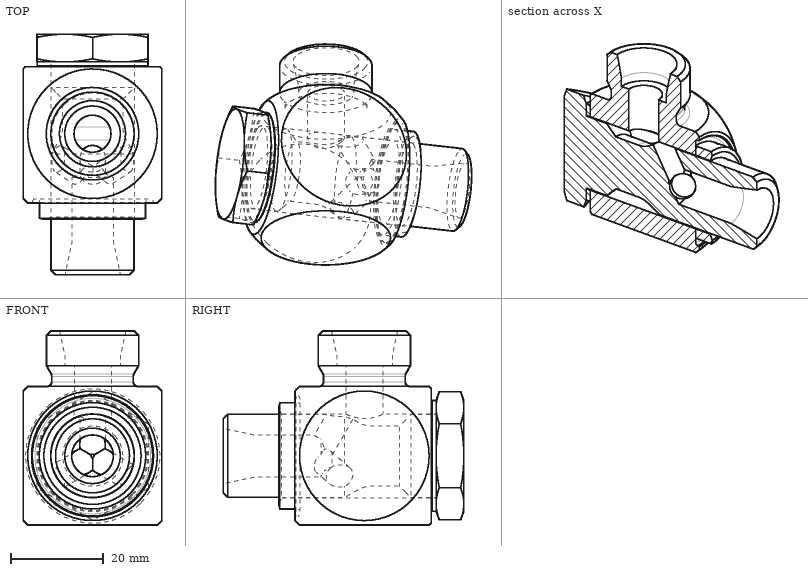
import cadquery as cq
import math


cube_size = 30.0
cube_half = cube_size / 2
flat_diameter = 28.0
sphere_radius = math.hypot(cube_half, flat_diameter / 2)
housing_front_y = -cube_half
housing_back_y = 14.5
bolt_clearance_diameter = 18.1

recess_diameter = 26.0
recess_depth = 1.0
recess_fillet = 0.5
recess_mouth_chamfer = 0.2
recess_floor_y = housing_front_y + recess_depth

stub_top_z = 27.0
stub_diameter = 20.0
stub_rim_chamfer = 1.0
stub_thread_bottom_z = 19.5
stub_neck_diameter = 17.7
stub_neck_cone_angle = 30.0
stub_neck_blend = 1.0
stub_root_fillet = 1.0
socket_mouth_diameter = 14.3
socket_diameter = 12.0
socket_cone_angle = 12.0
socket_floor_z = 19.5
stub_bore_diameter = 8.0

bolt_end_y = -30.5
bolt_diameter = 18.0
bolt_end_chamfer = 1.0
waist_diameter = 13.0
waist_cone_angle = 30.0
waist_blend_front_y = -1.3
waist_blend_back_y = 1.5
waist_end_y = 7.5
hex_across_flats = 24.0
hex_thickness = 6.0
hex_back_y = 21.5
hex_front_y = hex_back_y - hex_thickness
hex_chamfer_angle = 20.0
hex_chamfer_reach = 3.0
bolt_bore_diameter = 9.0
bolt_mouth_diameter = 12.0
bolt_mouth_cone_angle = 12.0
drill_tip_angle = 59.0
drill_tip_y = -6.75

cross_hole_diameter = 5.5
cross_hole_count = 3
cross_hole_start_y = -10.3
cross_hole_tilt = 30.0
cross_hole_length = 14.0

ring_bore_diameter = 18.1
front_ring_diameter = 23.0
front_ring_edge_diameter = 21.0
front_ring_edge_y = -18.5
front_ring_bevel_angle = 15.0
front_ring_cone_angle = 20.0

rear_ring_diameter = 24.0
rear_ring_bevel = 0.2


def tangent(angle):
    return math.tan(math.radians(angle))


def revolve_profile(profile):
    """Turn a closed profile about the vertical axis of its own sketch plane."""
    return profile.close().revolve(360, (0, 0, 0), (0, 1, 0))


def make_stub():
    outer = stub_diameter / 2
    neck = stub_neck_diameter / 2
    root = neck + stub_root_fillet
    angle = math.radians(stub_neck_cone_angle)
    blend_top_radius = neck + stub_neck_blend * (1 - math.cos(angle))
    blend_top_z = stub_thread_bottom_z - (outer - blend_top_radius) / math.tan(angle)
    blend_bottom_z = blend_top_z - stub_neck_blend * math.sin(angle)
    return revolve_profile(
        cq.Workplane("XZ")
        .lineTo(root, 0)
        .lineTo(root, cube_half)
        .radiusArc((neck, cube_half + stub_root_fillet), stub_root_fillet)
        .lineTo(neck, blend_bottom_z)
        .radiusArc((blend_top_radius, blend_top_z), stub_neck_blend)
        .lineTo(outer, stub_thread_bottom_z)
        .lineTo(outer, stub_top_z - stub_rim_chamfer)
        .lineTo(outer - stub_rim_chamfer, stub_top_z)
        .lineTo(0, stub_top_z)
    )


def make_stub_bore():
    bore = stub_bore_diameter / 2
    socket = socket_diameter / 2
    mouth = socket_mouth_diameter / 2
    cone_bottom_z = stub_top_z - (mouth - socket) / tangent(socket_cone_angle)
    return revolve_profile(
        cq.Workplane("XZ")
        .lineTo(bore, 0)
        .lineTo(bore, socket_floor_z)
        .lineTo(socket, socket_floor_z)
        .lineTo(socket, cone_bottom_z)
        .lineTo(mouth, stub_top_z)
        .lineTo(0, stub_top_z)
    )


def make_bolt_passage():
    """The bolt hole through the housing together with the front recess."""
    passage = bolt_clearance_diameter / 2
    wall = recess_diameter / 2
    return revolve_profile(
        cq.Workplane("XY")
        .moveTo(0, housing_front_y)
        .lineTo(wall + recess_mouth_chamfer, housing_front_y)
        .lineTo(wall, housing_front_y + recess_mouth_chamfer)
        .lineTo(wall, recess_floor_y - recess_fillet)
        .radiusArc((wall - recess_fillet, recess_floor_y), -recess_fillet)
        .lineTo(passage, recess_floor_y)
        .lineTo(passage, housing_back_y)
        .lineTo(0, housing_back_y)
    )


def make_housing():
    length = housing_back_y - housing_front_y
    block = cq.Workplane("XY").box(cube_size, length, cube_size)
    block = block.translate((0, (housing_front_y + housing_back_y) / 2, 0))
    block = block.intersect(cq.Workplane("XY").sphere(sphere_radius))
    return block.union(make_stub()).cut(make_stub_bore()).cut(make_bolt_passage()).solids()


def make_bolt_shank():
    shank = bolt_diameter / 2
    waist = waist_diameter / 2
    angle = math.radians(waist_cone_angle)
    blend_radius = (waist_blend_back_y - waist_blend_front_y) / math.sin(angle)
    cone_start = waist + blend_radius * (1 - math.cos(angle))
    cone_end_y = waist_blend_front_y - (shank - cone_start) / math.tan(angle)
    return revolve_profile(
        cq.Workplane("XY")
        .moveTo(0, bolt_end_y)
        .lineTo(shank - bolt_end_chamfer, bolt_end_y)
        .lineTo(shank, bolt_end_y + bolt_end_chamfer)
        .lineTo(shank, cone_end_y)
        .lineTo(cone_start, waist_blend_front_y)
        .radiusArc((waist, waist_blend_back_y), blend_radius)
        .lineTo(waist, waist_end_y)
        .lineTo(shank, waist_end_y + shank - waist)
        .lineTo(shank, hex_front_y)
        .lineTo(0, hex_front_y)
    )


def make_bolt_head():
    across_corners = hex_across_flats / math.cos(math.radians(30))
    hexagon = (
        cq.Workplane("XZ", origin=(0, hex_back_y, 0))
        .polygon(6, across_corners)
        .extrude(hex_thickness)
        .rotate((0, 0, 0), (0, 1, 0), 30)
    )
    face = hex_across_flats / 2
    rim = face + hex_chamfer_reach
    slope = hex_chamfer_reach * tangent(hex_chamfer_angle)
    double_cone = revolve_profile(
        cq.Workplane("XY")
        .moveTo(0, hex_front_y)
        .lineTo(face, hex_front_y)
        .lineTo(rim, hex_front_y + slope)
        .lineTo(rim, hex_back_y - slope)
        .lineTo(face, hex_back_y)
        .lineTo(0, hex_back_y)
    )
    return hexagon.intersect(double_cone)


def make_bolt_bore():
    bore = bolt_bore_diameter / 2
    mouth = bolt_mouth_diameter / 2
    mouth_end_y = bolt_end_y + (mouth - bore) / tangent(bolt_mouth_cone_angle)
    drill_shoulder_y = drill_tip_y - bore / tangent(drill_tip_angle)
    return revolve_profile(
        cq.Workplane("XY")
        .moveTo(0, bolt_end_y)
        .lineTo(mouth, bolt_end_y)
        .lineTo(bore, mouth_end_y)
        .lineTo(bore, drill_shoulder_y)
        .lineTo(0, drill_tip_y)
    )


def make_cross_hole(turn):
    """One hole that starts on the bolt axis, leans back and is turned about that axis."""
    return (
        cq.Workplane("XY", origin=(0, cross_hole_start_y, 0))
        .circle(cross_hole_diameter / 2)
        .extrude(cross_hole_length)
        .rotate((0, cross_hole_start_y, 0), (1, cross_hole_start_y, 0), -cross_hole_tilt)
        .rotate((0, 0, 0), (0, 1, 0), turn)
    )


def make_bolt():
    bolt = make_bolt_shank().union(make_bolt_head()).cut(make_bolt_bore())
    for index in range(cross_hole_count):
        bolt = bolt.cut(make_cross_hole(index * 360 / cross_hole_count))
    return bolt.solids()


def make_front_ring():
    bore = ring_bore_diameter / 2
    outer = front_ring_diameter / 2
    edge = front_ring_edge_diameter / 2
    bevel_end_y = front_ring_edge_y + (outer - edge) * tangent(front_ring_bevel_angle)
    cone_end_y = front_ring_edge_y + (edge - bore) * tangent(front_ring_cone_angle)
    return revolve_profile(
        cq.Workplane("XY")
        .moveTo(bore, recess_floor_y)
        .lineTo(outer, recess_floor_y)
        .lineTo(outer, bevel_end_y)
        .lineTo(edge, front_ring_edge_y)
        .lineTo(bore, cone_end_y)
    )


def make_rear_ring():
    bore = ring_bore_diameter / 2
    outer = rear_ring_diameter / 2
    return revolve_profile(
        cq.Workplane("XY")
        .moveTo(bore, housing_back_y)
        .lineTo(outer - rear_ring_bevel, housing_back_y)
        .lineTo(outer, housing_back_y + rear_ring_bevel)
        .lineTo(outer, hex_front_y)
        .lineTo(bore, hex_front_y)
    )


housing = make_housing()
bolt = make_bolt()
front_ring = make_front_ring()
rear_ring = make_rear_ring()

result = cq.Compound.makeCompound([housing.val(), bolt.val(), front_ring.val(), rear_ring.val()])